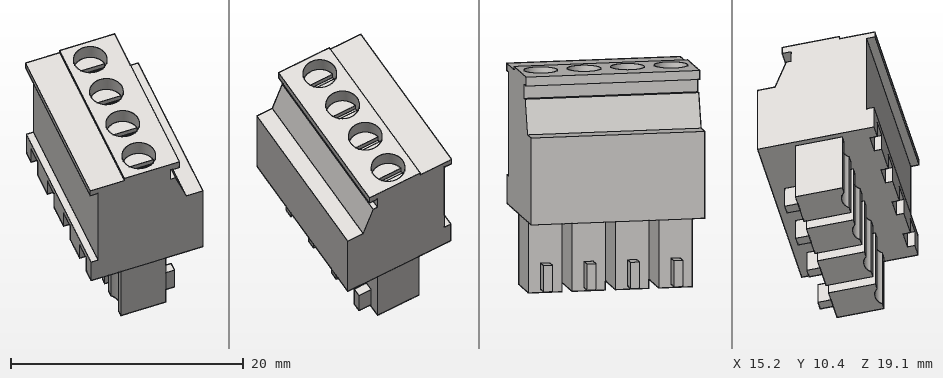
import cadquery as cq


pole_count = 4
housing_length = 15.25
pitch = housing_length / pole_count
pole_positions = [(index + 0.5) * pitch for index in range(pole_count)]

overall_height = 19.1
plug_length = 6.57
housing_height = overall_height - plug_length
foot_height = 2.52
front_lip_bottom = 11.6
front_lip_top = 12.25
back_shelf_height = 7.6
slope_top = 10.52
back_lip_bottom = 11.75

housing_depth = 10.4
foot_front = 0.08
front_wall = 0.73
top_step = 3.15
neck_back = 7.43
slope_top_back = 7.87
back_lip_end = 8.23
slope_bottom_back = 8.86

notch_width = 1.53
notch_height = 1.8
notch_depth = 0.65

plug_width = 2.95
plug_front = 3.0
plug_back = 7.16
groove_width = 1.8
groove_depth = 0.4
key_width = 0.8
key_height = 2.3
key_projection = 1.22
key_bottom_gap = 0.29

screw_diameter = 2.9
screw_center = 5.23
screw_recess = 1.47
screw_length = 1.91
screw_slot_width = 0.5
screw_slot_depth = 0.5
screw_top = housing_height - screw_recess
screw_bottom = screw_top - screw_length


def box_between(x_center, width, y_front, y_back, z_bottom, z_top):
    """Box centred on x_center, spanning the given Y and Z limits."""
    return (
        cq.Workplane("XY")
        .box(width, y_back - y_front, z_top - z_bottom, centered=(True, False, False))
        .translate((x_center, y_front, z_bottom))
    )


def housing_block():
    """Side profile in the YZ plane, extruded along the whole row."""
    profile = [
        (foot_front, 0),
        (foot_front, foot_height),
        (front_wall, foot_height),
        (front_wall, front_lip_bottom),
        (0, front_lip_bottom),
        (0, front_lip_top),
        (top_step, front_lip_top),
        (top_step, housing_height),
        (back_lip_end, housing_height),
        (back_lip_end, back_lip_bottom),
        (neck_back, back_lip_bottom),
        (neck_back, slope_top),
        (slope_top_back, slope_top),
        (slope_bottom_back, back_shelf_height),
        (housing_depth, back_shelf_height),
        (housing_depth, 0),
    ]
    return cq.Workplane("YZ").polyline(profile).close().extrude(housing_length)


def foot_notch(x_center):
    """Cutter for the notch in the front foot, open to the front and below."""
    return box_between(x_center, notch_width, foot_front, foot_front + notch_depth, 0, notch_height)


def plug(x_center):
    """Plug with an arc groove down its front and a key on its back."""
    half_width = plug_width / 2
    half_groove = groove_width / 2
    shank = (
        cq.Workplane("XY")
        .moveTo(x_center - half_width, plug_front)
        .lineTo(x_center - half_groove, plug_front)
        .threePointArc((x_center, plug_front + groove_depth), (x_center + half_groove, plug_front))
        .lineTo(x_center + half_width, plug_front)
        .lineTo(x_center + half_width, plug_back)
        .lineTo(x_center - half_width, plug_back)
        .close()
        .extrude(-plug_length)
    )
    key_bottom = key_bottom_gap - plug_length
    key = box_between(
        x_center, key_width, plug_back, plug_back + key_projection, key_bottom, key_bottom + key_height
    )
    return shank.union(key)


def screw_cylinder(x_center, z_top):
    """Cylinder of the screw diameter from the screw underside up to z_top."""
    return (
        cq.Workplane("XY", origin=(x_center, screw_center, screw_bottom))
        .circle(screw_diameter / 2)
        .extrude(z_top - screw_bottom)
    )


def make_housing():
    """Housing with its plugs, foot notches and screw holes."""
    body = housing_block()
    for x_center in pole_positions:
        body = body.union(plug(x_center))
        body = body.cut(foot_notch(x_center))
        body = body.cut(screw_cylinder(x_center, housing_height))
    return body


def make_screw(x_center):
    """Screw filling the lower part of its hole, with a driver slot along Y."""
    radius = screw_diameter / 2
    slot = box_between(
        x_center,
        screw_slot_width,
        screw_center - radius,
        screw_center + radius,
        screw_top - screw_slot_depth,
        screw_top,
    )
    return screw_cylinder(x_center, screw_top).cut(slot)


housing = make_housing()
screws = [make_screw(x_center) for x_center in pole_positions]

result = cq.Compound.makeCompound([housing.val(), *[screw.val() for screw in screws]])